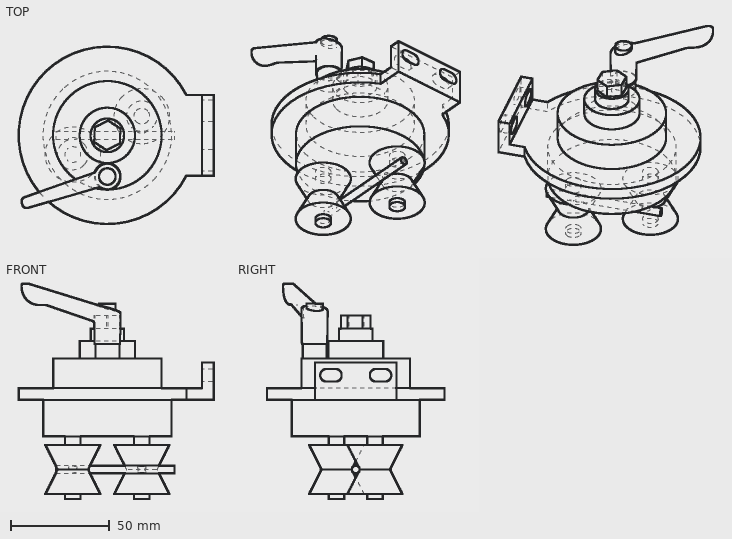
import cadquery as cq
import math


flange_dia = 89.9
flange_thick = 6.0
bracket_reach = 53.9
bracket_width = 41.0
bracket_height = 19.0
slot_dia = 6.4
slot_travel = 4.5
slot_offset = 12.5

body_dia = 65.0
body_height = 18.4
disc_dia = 55.0
disc_top = 21.1
hub_dia = 28.0
hub_top = 29.9
collar_dia = 17.0
collar_top = 36.1
hex_flats = 13.0
hex_top = 42.8
hex_turn = -3

wire_dia = 4.0
wire_start = -26.0
wire_length = 60
roller_dia = 28.0
waist_dia = 15.5
roller_height = 25.0
roller_gap = 4.3
pin_dia = 8.0
pin_stub = 2.5
roller_x = 17.5
roller_y = 9.7
roller_mid = -body_height - roller_gap - roller_height / 2

lever_y = -20.8
arm_turn = 17.8
stud_foot_dia = 12.2
stud_dia = 8.4
stud_top = 48.8
socket_bottom = 28.4
socket_bottom_dia = 13.0
socket_top_dia = 13.5
socket_blank_top = 49.1
arm_top = 58.9
arm_slope = 0.296
arm_length = 45.4
flat_start = 42.6
root_half_width = 4.0
tip_half_width = 2.8
underside_root = 37.5
underside_slope = 0.325
grip_bottom = 48
grip_radius = 9.3
grip_blend = 4.4
underside_fillet = 2.4
top_fillet = 1.0
joint_fillet = 1.5
edge_margin = 0.1


def cylinder(diameter, bottom, top):
    return cq.Workplane("XY").workplane(offset=bottom).circle(diameter / 2).extrude(top - bottom)


def make_flange():
    plate = cylinder(flange_dia, 0, flange_thick)
    arm = cq.Workplane("XY").rect(bracket_reach, bracket_width).extrude(flange_thick)
    arm = arm.translate((bracket_reach / 2, 0, 0))
    wall = cq.Workplane("XY").box(flange_thick, bracket_width, bracket_height, centered=(False, True, False))
    wall = wall.translate((bracket_reach - flange_thick, 0, 0))
    slot_height = (flange_thick + bracket_height) / 2
    slots = (
        cq.Workplane("YZ", origin=(bracket_reach, 0, 0))
        .pushPoints([(-slot_offset, slot_height), (slot_offset, slot_height)])
        .slot2D(slot_travel + slot_dia, slot_dia)
        .extrude(-flange_thick)
    )
    return plate.union(arm).union(wall).cut(slots)


def make_stack():
    stack = cylinder(body_dia, -body_height, 0)
    stack = stack.union(cylinder(disc_dia, flange_thick, disc_top))
    stack = stack.union(cylinder(hub_dia, disc_top, hub_top))
    stack = stack.union(cylinder(collar_dia, hub_top, collar_top))
    hex_head = (
        cq.Workplane("XY", origin=(0, 0, collar_top))
        .transformed(rotate=(0, 0, 90 + hex_turn))
        .polygon(6, hex_flats / math.cos(math.pi / 6))
        .extrude(hex_top - collar_top)
    )
    return stack.union(hex_head)


def make_roller(x, y):
    half = roller_height / 2
    low = roller_mid - half
    high = roller_mid + half
    roller = (
        cq.Workplane("XZ")
        .moveTo(0, low)
        .lineTo(roller_dia / 2, low)
        .lineTo(waist_dia / 2, roller_mid)
        .lineTo(roller_dia / 2, high)
        .lineTo(0, high)
        .close()
        .revolve(360, (0, 0, 0), (0, 1, 0))
    )
    pin = cylinder(pin_dia, low - pin_stub, -body_height)
    return roller.union(pin).translate((x, y, 0))


def make_wire():
    return cq.Workplane("YZ", origin=(wire_start, 0, roller_mid)).circle(wire_dia / 2).extrude(wire_length)


def upper_face(distance):
    """Height of the sloping upper face at a distance from the lever axis along the arm."""
    return min(arm_top, arm_top - arm_slope * (flat_start - distance))


def is_below_upper_face(edge):
    middle = edge.Center()
    return middle.z < upper_face(-middle.x) - edge_margin


def is_clear_of_root(edge):
    return edge.Center().x < -edge_margin


def is_joint_edge(edge):
    """True where the arm runs into the side of the socket."""
    along_arm = -edge.Center().x
    return root_half_width < along_arm < socket_top_dia / 2 and is_below_upper_face(edge)


def is_top_face(face):
    """True for the level and sloping upper faces, which lean no more than the arm does."""
    return face.normalAt().z > math.cos(2 * math.atan(arm_slope))


def is_clear_of_crease(edge):
    """False for the line where the sloping upper face turns level."""
    return abs(edge.Center().x + flat_start) > edge_margin


def make_arm():
    plan = (
        cq.Workplane("XY")
        .moveTo(0, root_half_width)
        .lineTo(-arm_length, tip_half_width)
        .lineTo(-arm_length, -tip_half_width)
        .lineTo(0, -root_half_width)
        .close()
        .extrude(arm_top)
    )
    grip_centre = (grip_radius - arm_length, grip_bottom + grip_radius)
    diagonal = grip_radius * math.sqrt(0.5)
    grip_start = (grip_bottom - underside_root) / underside_slope
    side = (
        cq.Workplane("XZ")
        .moveTo(0, underside_root)
        .lineTo(-grip_start, grip_bottom)
        .lineTo(grip_centre[0], grip_bottom)
        .threePointArc(
            (grip_centre[0] - diagonal, grip_centre[1] - diagonal),
            (-arm_length, grip_centre[1]),
        )
        .lineTo(-arm_length, arm_top)
        .lineTo(-flat_start, arm_top)
        .lineTo(0, upper_face(0))
        .close()
        .extrude(root_half_width, both=True)
    )
    near_grip_start = cq.selectors.NearestToPointSelector((-grip_start, 0, grip_bottom))
    side = side.edges("|Y").edges(near_grip_start).fillet(grip_blend)
    arm = plan.intersect(side)
    underside_edges = arm.edges("not |Y").filter(is_below_upper_face).filter(is_clear_of_root)
    return underside_edges.fillet(underside_fillet)


def make_lever():
    reach = socket_top_dia
    socket = (
        cq.Workplane("XY", origin=(0, 0, socket_bottom))
        .circle(socket_bottom_dia / 2)
        .workplane(offset=socket_blank_top - socket_bottom)
        .circle(socket_top_dia / 2)
        .loft()
    )
    under_slope = (
        cq.Workplane("XZ")
        .moveTo(-reach, 0)
        .lineTo(reach, 0)
        .lineTo(reach, upper_face(-reach))
        .lineTo(-reach, upper_face(reach))
        .close()
        .extrude(reach, both=True)
    )
    lever = make_arm().union(socket.intersect(under_slope))
    lever = lever.edges().filter(is_joint_edge).fillet(joint_fillet)
    lever = lever.faces().filter(is_top_face).edges().filter(is_clear_of_crease).fillet(top_fillet)
    stud = cylinder(stud_foot_dia, disc_top, socket_bottom).union(cylinder(stud_dia, socket_bottom, stud_top))
    return lever.union(stud).rotate((0, 0, 0), (0, 0, 1), arm_turn).translate((0, lever_y, 0))


result = make_flange().union(make_stack()).union(make_wire())
for end in (-1, 1):
    result = result.union(make_roller(end * roller_x, end * roller_y))
result = result.union(make_lever())